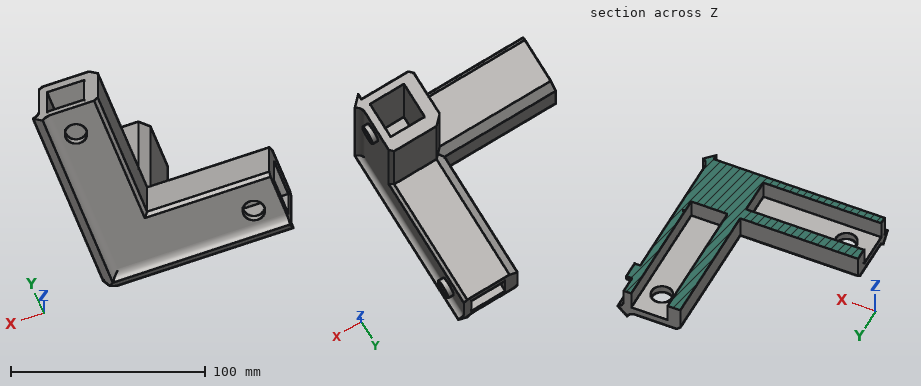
import cadquery as cq
import math

x_length = 102.7
y_length = 107.6
z_length = 102.7

face_inset = 3.2
arm_inner = 35.6
inner_chamfer = 4.8
side_chamfer = 2.0
lip_chamfer = 5.4
lip_fillet_radius = 5.2

bore_start = 7.8
bore_size = 20.5
bore_center = bore_start + bore_size / 2

peg_diameter = 10.3
hole_diameter = 11.5
end_offset = 15.1

fillet_center_depth = face_inset - lip_fillet_radius
fillet_tangent = lip_chamfer + math.sqrt(lip_fillet_radius**2 - fillet_center_depth**2)
half_angle = math.asin((fillet_tangent - lip_chamfer) / lip_fillet_radius) / 2
fillet_middle = (
    fillet_tangent - lip_fillet_radius * math.sin(half_angle),
    fillet_center_depth + lip_fillet_radius * math.cos(half_angle),
)

x_arm_plane = cq.Plane(origin=(0, 0, 0), xDir=(0, 0, 1), normal=(-1, 0, 0))
y_arm_plane = cq.Plane(origin=(0, 0, 0), xDir=(-1, 0, 0), normal=(0, 1, 0))
z_arm_plane = cq.Plane(origin=(0, 0, 0), xDir=(0, 1, 0), normal=(0, 0, 1))


def arm(plane, length, fillet_first, fillet_second):
    """Arm body; each side of the lip is a concave fillet or a square ledge."""
    section = cq.Workplane(plane).workplane(offset=face_inset).moveTo(lip_chamfer, 0)
    if fillet_second:
        section = section.threePointArc(fillet_middle, (fillet_tangent, face_inset))
    else:
        section = section.lineTo(lip_chamfer, face_inset)
    section = (
        section.lineTo(arm_inner - side_chamfer, face_inset)
        .lineTo(arm_inner, face_inset + side_chamfer)
        .lineTo(arm_inner, arm_inner - inner_chamfer)
        .lineTo(arm_inner - inner_chamfer, arm_inner)
        .lineTo(face_inset + side_chamfer, arm_inner)
        .lineTo(face_inset, arm_inner - side_chamfer)
    )
    if fillet_first:
        section = section.lineTo(face_inset, fillet_tangent)
        section = section.threePointArc(fillet_middle[::-1], (0, lip_chamfer))
    else:
        section = section.lineTo(face_inset, lip_chamfer).lineTo(0, lip_chamfer)
    return section.close().extrude(length - face_inset)


def bore(plane, length):
    """Square socket from the arm end down to the corner block."""
    return (
        cq.Workplane(plane)
        .workplane(offset=arm_inner)
        .center(bore_center, bore_center)
        .rect(bore_size, bore_size)
        .extrude(length - arm_inner)
    )


def edge_bevel(plane, length):
    """Triangular prism removed along the outer edge of an arm."""
    corners = [(0, 0), (lip_chamfer, 0), (0, lip_chamfer)]
    return cq.Workplane(plane).polyline(corners).close().extrude(length)


def arm_end_centers(along_first, along_second):
    """Centers, as distances from the corner, near the ends of two arms."""
    return [(along_first - end_offset, bore_center), (bore_center, along_second - end_offset)]


body = cq.Workplane("XY").box(lip_chamfer, lip_chamfer, lip_chamfer, centered=False)
body = body.translate((-lip_chamfer, 0, 0))
body = body.union(arm(x_arm_plane, x_length, True, False))
body = body.union(arm(y_arm_plane, y_length, True, True))
body = body.union(arm(z_arm_plane, z_length, False, True))

arms = [(x_arm_plane, x_length), (y_arm_plane, y_length), (z_arm_plane, z_length)]
for plane, length in arms:
    body = body.cut(edge_bevel(plane, length)).cut(bore(plane, length))

for y, z in arm_end_centers(y_length, z_length):
    peg = cq.Workplane("YZ").center(y, z).circle(peg_diameter / 2).extrude(-face_inset)
    body = body.union(peg)

for x, y in arm_end_centers(x_length, y_length):
    hole = cq.Workplane("XY").center(-x, y).circle(hole_diameter / 2).extrude(bore_center)
    body = body.cut(hole)

result = body